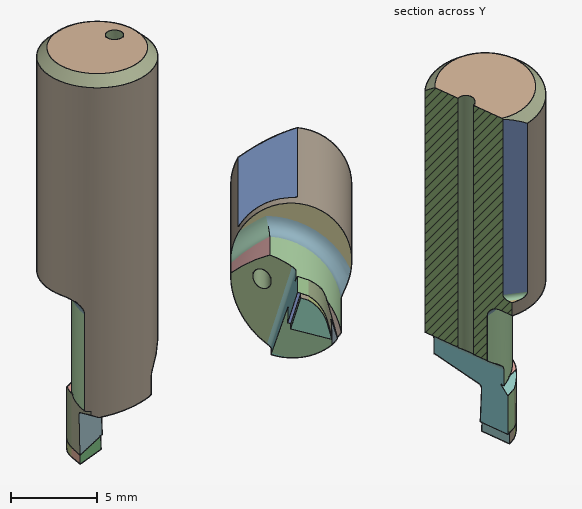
import cadquery as cq
import math

shank_radius = 3.496
top_z = 27.0
top_chamfer = 0.6
flat_distance = 2.92
flat_angle = 135.0
flat_end_z = 13.01
flat_end_radius = 0.27
coolant_x = 0.2
coolant_y = 1.7
coolant_radius = 0.526

shoulder_z = 12.0
shoulder_fillet = 0.95
neck_bottom_z = 4.54
neck_left_x = -1.43
neck_arc_radius = 4.5
neck_arc_center_y = 0.68
neck_arc_end_y = 1.7
neck_back_x = 0.92
neck_back_y = 3.38
neck_back_bulge = 0.097

rake_y = 0.14
slope_top_y = 3.38
slope_top_z = 9.25
rake_fillet = 0.8

head_left_x = -1.67
flank_start_x = -1.65
flank_start_y = -0.55
facet_start_x = -0.57
facet_start_y = -2.0
facet_slope = 0.63
wall_top_x = 0.15
wall_bottom_x = 0.3
underside_z = 3.75
underside_outer_z = 4.55
underside_fillet = 0.27
front_relief_y = -2.48
front_relief_slope = 0.75
corner_low_z = 3.9
corner_inner_x = -1.2

tip_top_z = 0.9
tip_rake_y = -0.05
tip_back_y = -2.5
tip_back_z = 0.3

reach = 2 * shank_radius
margin = 0.27


def box_between(low, high):
    """Axis-parallel box between two opposite corners."""
    size = [b - a for a, b in zip(low, high)]
    return cq.Workplane("XY").box(*size, centered=False).translate(low)


def along_y(points):
    """Prism through the shank along Y from an (x, z) outline."""
    return cq.Workplane("XZ").polyline(points).close().extrude(reach, both=True)


def along_x(points):
    """Prism through the shank along X from a (y, z) outline."""
    return cq.Workplane("YZ").polyline(points).close().extrude(reach, both=True)


def make_shank():
    shank = cq.Workplane("XY").circle(shank_radius).extrude(top_z)
    return shank.faces(">Z").chamfer(top_chamfer)


def clamping_flat():
    cutter = box_between((flat_distance, -reach, flat_end_z), (reach, reach, top_z + margin))
    cutter = cutter.edges("|Y and <X and <Z").fillet(flat_end_radius)
    return cutter.rotate((0, 0, 0), (0, 0, 1), flat_angle)


def coolant_hole():
    return cq.Workplane("XY").center(coolant_x, coolant_y).circle(coolant_radius).extrude(top_z)


def neck_relief():
    """Space beside the neck, with its upper inner edge rounded."""
    center_x = neck_left_x + neck_arc_radius

    def arc_x(y):
        return center_x - math.sqrt(neck_arc_radius**2 - (y - neck_arc_center_y)**2)

    arc_end_x = arc_x(neck_arc_end_y)
    front_y = neck_arc_center_y - neck_arc_radius
    cutter = (
        cq.Workplane("XY")
        .workplane(offset=neck_bottom_z)
        .moveTo(-reach, front_y)
        .lineTo(center_x, front_y)
        .threePointArc((neck_left_x, neck_arc_center_y), (arc_end_x, neck_arc_end_y))
        .sagittaArc((neck_back_x, neck_back_y), neck_back_bulge)
        .lineTo(neck_back_x, reach)
        .lineTo(-reach, reach)
        .close()
        .extrude(shoulder_z - neck_bottom_z)
    )
    neck_edges = cutter.faces(">Z").edges(cq.selectors.BoxSelector(
        (neck_left_x - margin, front_y + margin, shoulder_z - margin),
        (reach, neck_back_y - margin, shoulder_z + margin),
    ))
    return cutter.newObject(neck_edges.vals()).fillet(shoulder_fillet)


def rake_relief():
    """Space behind the rake face and below the 45 degree slope."""
    slope_end_z = slope_top_z - (slope_top_y - rake_y)
    cutter = along_x([
        (rake_y, -margin),
        (rake_y, slope_end_z),
        (rake_y + reach, slope_end_z + reach),
        (rake_y + reach, -margin),
    ])
    corner = cq.selectors.NearestToPointSelector((0, rake_y, slope_end_z))
    return cutter.edges("|X").edges(corner).fillet(rake_fillet)


def head_prism():
    """Head outline, its facet carried on past the shank surface."""
    facet_end_y = facet_start_y - facet_slope * (reach - facet_start_x)
    return (
        cq.Workplane("XY")
        .moveTo(reach, facet_end_y)
        .lineTo(facet_start_x, facet_start_y)
        .tangentArcPoint((flank_start_x, flank_start_y), relative=False)
        .lineTo(head_left_x, rake_y)
        .lineTo(reach, rake_y)
        .close()
        .extrude(neck_bottom_z)
    )


def underside_relief():
    """Space beside the head's +X wall and under the sloping underside."""
    slope = (underside_outer_z - underside_z) / (shank_radius - wall_top_x)
    cutter = along_y([
        (wall_bottom_x, 0),
        (wall_top_x, underside_z),
        (reach, underside_z + slope * (reach - wall_top_x)),
        (reach, 0),
    ])
    corner = cq.selectors.NearestToPointSelector((wall_top_x, 0, underside_z))
    return cutter.edges("|Y").edges(corner).fillet(underside_fillet)


def front_relief():
    rise = front_relief_slope * (front_relief_y + reach)
    return along_x([
        (front_relief_y, underside_z),
        (-reach, underside_z + rise),
        (-reach, underside_z),
    ])


def corner_relief():
    return along_y([
        (head_left_x, corner_low_z),
        (corner_inner_x, neck_bottom_z),
        (head_left_x, neck_bottom_z),
    ])


def make_head():
    """Head and tip together, down to Z = 0."""
    envelope = cq.Workplane("XY").circle(shank_radius).extrude(neck_bottom_z)
    head = head_prism().intersect(envelope)
    return head.cut(underside_relief()).cut(front_relief()).cut(corner_relief())


def make_holder(head):
    upper = make_shank().cut(box_between((-reach, -reach, 0), (reach, reach, neck_bottom_z)))
    upper = upper.cut(clamping_flat()).cut(neck_relief()).cut(rake_relief()).cut(coolant_hole())
    lower = head.cut(box_between((-reach, -reach, 0), (reach, reach, tip_top_z)))
    return upper.union(lower)


def make_tip(head):
    end_slope = tip_back_z / (tip_rake_y - tip_back_y)
    profile = along_x([
        (tip_rake_y, 0),
        (tip_rake_y, tip_top_z),
        (tip_back_y - margin, tip_top_z),
        (tip_back_y - margin, tip_back_z + margin * end_slope),
    ])
    return head.intersect(profile)


head = make_head()
holder = make_holder(head)
tip = make_tip(head)

result = cq.Compound.makeCompound([holder.val(), tip.val()])